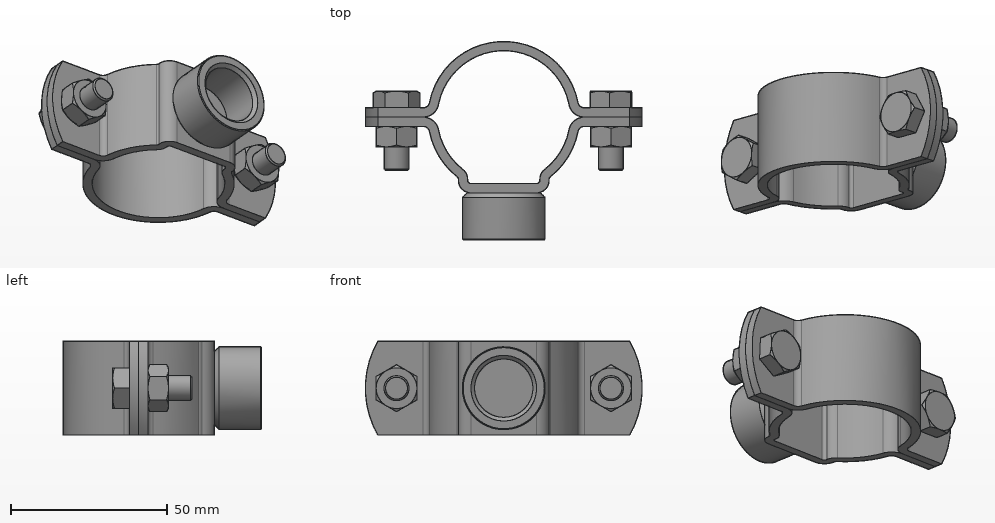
import cadquery as cq
import math

strip_width = 30.0
strip_thickness = 3.0
pipe_radius = 21.2
band_radius = pipe_radius + strip_thickness
ear_bend_inner = 2.0
ear_bend_outer = ear_bend_inner + strip_thickness
ear_reach = 44.25
ear_end_radius = 30.0

seat_half_width = 10.5
seat_bend_inner = 1.0
seat_bend_outer = seat_bend_inner + strip_thickness
seat_outer_y = -band_radius
seat_inner_y = seat_outer_y + strip_thickness

socket_radius = 13.25
socket_length = 15.0
socket_bore_radius = 9.315
socket_mouth_radius = 10.48
socket_edge_chamfer = 0.3
weld_bevel = 1.5

bolt_radius = 4.0
bolt_length = 20.0
bolt_tip_chamfer = 0.5
bolt_spacing = 68.5
hex_flats = 13.0
hex_corner_radius = hex_flats / math.sqrt(3)
head_height = 5.3
nut_height = 6.5
hex_chamfer_angle = 30.0
left_head_turn = 0.0
right_head_turn = -33.0
nut_turn = 30.0

bolt_head_turns = {-bolt_spacing / 2: left_head_turn, bolt_spacing / 2: right_head_turn}


def polar(radius, angle, center=(0.0, 0.0)):
    """Point at a radius and an angle in radians around a center."""
    return (center[0] + radius * math.cos(angle), center[1] + radius * math.sin(angle))


def mirrored(point):
    """Point reflected across the X = 0 plane."""
    return (-point[0], point[1])


ear_bend_y = strip_thickness + ear_bend_inner
ear_bend_x = math.sqrt((band_radius + ear_bend_inner) ** 2 - ear_bend_y**2)
ear_bend_center = (ear_bend_x, ear_bend_y)
ear_bend_angle = math.atan2(ear_bend_y, ear_bend_x)
ear_bend_mid_angle = (math.pi + ear_bend_angle + 1.5 * math.pi) / 2

wall_outer_x = seat_half_width + seat_bend_outer
wall_inner_x = seat_half_width + seat_bend_inner
seat_bend_center = (seat_half_width, seat_inner_y + seat_bend_inner)
neck_bend_x = wall_outer_x + seat_bend_inner
neck_bend_y = -math.sqrt((band_radius + seat_bend_inner) ** 2 - neck_bend_x**2)
neck_bend_center = (neck_bend_x, neck_bend_y)
neck_angle = math.atan2(neck_bend_y, neck_bend_x)
neck_bend_mid_angle = math.pi + neck_angle / 2


def trim_ears(strip):
    """Round the two ear ends, with arcs that bulge outwards along X."""
    end_sagitta = ear_end_radius - math.sqrt(ear_end_radius**2 - (strip_width / 2) ** 2)
    corner_x = ear_reach - end_sagitta
    half_width = strip_width / 2
    outline = (
        cq.Workplane("XZ")
        .moveTo(-corner_x, -half_width)
        .lineTo(corner_x, -half_width)
        .threePointArc((ear_reach, 0), (corner_x, half_width))
        .lineTo(-corner_x, half_width)
        .threePointArc((-ear_reach, 0), (-corner_x, -half_width))
        .close()
        .extrude(band_radius + strip_thickness, both=True)
    )
    return strip.intersect(outline)


def drill_bolt_holes(strip):
    """Cut the bolt holes through both ears."""
    for bolt_x in bolt_head_turns:
        hole = cq.Workplane("XZ").center(bolt_x, 0).circle(bolt_radius).extrude(ear_bend_y, both=True)
        strip = strip.cut(hole)
    return strip


def finish_clamp(outline):
    """Extrude a strip outline across its width, then trim and drill its ears."""
    strip = outline.extrude(strip_width / 2, both=True)
    return drill_bolt_holes(trim_ears(strip))


def make_back_clamp():
    """Half band at +Y with one bent ear on each side."""
    band_end = polar(band_radius, ear_bend_angle)
    bore_end = polar(pipe_radius, ear_bend_angle)
    bend_inner_mid = polar(ear_bend_inner, ear_bend_mid_angle, ear_bend_center)
    bend_outer_mid = polar(ear_bend_outer, ear_bend_mid_angle, ear_bend_center)
    outline = (
        cq.Workplane("XY")
        .moveTo(ear_reach, 0)
        .lineTo(ear_reach, strip_thickness)
        .lineTo(ear_bend_x, strip_thickness)
        .threePointArc(bend_inner_mid, band_end)
        .threePointArc((0, band_radius), mirrored(band_end))
        .threePointArc(mirrored(bend_inner_mid), (-ear_bend_x, strip_thickness))
        .lineTo(-ear_reach, strip_thickness)
        .lineTo(-ear_reach, 0)
        .lineTo(-ear_bend_x, 0)
        .threePointArc(mirrored(bend_outer_mid), mirrored(bore_end))
        .threePointArc((0, pipe_radius), bore_end)
        .threePointArc(bend_outer_mid, (ear_bend_x, 0))
        .close()
    )
    return finish_clamp(outline)


def half_front_outline():
    """Right-hand half of the front clamp outline, open along X = 0."""
    side_angle = (neck_angle - ear_bend_angle) / 2
    seat_mid_angle = -math.pi / 4
    ear_inner_mid = polar(ear_bend_inner, -ear_bend_mid_angle, (ear_bend_x, -ear_bend_y))
    ear_outer_mid = polar(ear_bend_outer, -ear_bend_mid_angle, (ear_bend_x, -ear_bend_y))
    return (
        cq.Workplane("XY")
        .moveTo(0, seat_outer_y)
        .lineTo(seat_half_width, seat_outer_y)
        .threePointArc(
            polar(seat_bend_outer, seat_mid_angle, seat_bend_center), (wall_outer_x, seat_bend_center[1])
        )
        .lineTo(wall_outer_x, neck_bend_y)
        .threePointArc(
            polar(seat_bend_inner, neck_bend_mid_angle, neck_bend_center), polar(band_radius, neck_angle)
        )
        .threePointArc(polar(band_radius, side_angle), polar(band_radius, -ear_bend_angle))
        .threePointArc(ear_inner_mid, (ear_bend_x, -strip_thickness))
        .lineTo(ear_reach, -strip_thickness)
        .lineTo(ear_reach, 0)
        .lineTo(ear_bend_x, 0)
        .threePointArc(ear_outer_mid, polar(pipe_radius, -ear_bend_angle))
        .threePointArc(polar(pipe_radius, side_angle), polar(pipe_radius, neck_angle))
        .threePointArc(
            polar(seat_bend_outer, neck_bend_mid_angle, neck_bend_center), (wall_inner_x, neck_bend_y)
        )
        .lineTo(wall_inner_x, seat_bend_center[1])
        .threePointArc(
            polar(seat_bend_inner, seat_mid_angle, seat_bend_center), (seat_half_width, seat_inner_y)
        )
        .lineTo(0, seat_inner_y)
    )


def make_front_clamp():
    """Half band at -Y with bent ears and a flat seat for the socket."""
    return finish_clamp(half_front_outline().mirrorY())


def make_socket():
    """Open tube on the seat, bevelled at the weld and countersunk at the mouth."""
    mouth_y = seat_outer_y - socket_length
    countersink = socket_mouth_radius - socket_bore_radius
    profile = [
        (socket_bore_radius, seat_outer_y),
        (socket_radius - weld_bevel, seat_outer_y),
        (socket_radius, seat_outer_y - weld_bevel),
        (socket_radius, mouth_y + socket_edge_chamfer),
        (socket_radius - socket_edge_chamfer, mouth_y),
        (socket_mouth_radius, mouth_y),
        (socket_bore_radius, mouth_y + countersink),
    ]
    return cq.Workplane("XY").polyline(profile).close().revolve(360, (0, 0), (0, 1))


def make_hex(height, turn, chamfer_near, chamfer_far):
    """Hexagon along Z from 0 to height, with conical corner chamfers on the chosen ends."""
    setback = hex_corner_radius - hex_flats / 2
    drop = setback * math.tan(math.radians(hex_chamfer_angle))
    hexagon = cq.Workplane("XY").polygon(6, 2 * hex_corner_radius).extrude(height)
    hexagon = hexagon.rotate((0, 0, 0), (0, 0, 1), turn)
    envelope = cq.Workplane("XY").circle(hex_corner_radius).extrude(height)
    if chamfer_near:
        envelope = envelope.faces("<Z").chamfer(drop, setback)
    if chamfer_far:
        envelope = envelope.faces(">Z").chamfer(drop, setback)
    return hexagon.intersect(envelope)


def place_on_ear(part, bolt_x, seat_y):
    """Turn a part's +Z axis to +Y and move it onto the bolt axis."""
    return part.rotate((0, 0, 0), (1, 0, 0), -90).translate((bolt_x, seat_y, 0))


def make_bolt(bolt_x, head_turn):
    """Hexagon bolt with its head on the back ear and its tip towards -Y."""
    head = make_hex(head_height, head_turn, chamfer_near=False, chamfer_far=True)
    shank = cq.Workplane("XY").circle(bolt_radius).extrude(-bolt_length)
    shank = shank.faces("<Z").chamfer(bolt_tip_chamfer)
    return place_on_ear(head.union(shank), bolt_x, strip_thickness)


def make_nut(bolt_x):
    """Hexagon nut against the front ear."""
    nut = make_hex(nut_height, nut_turn, chamfer_near=True, chamfer_far=True)
    nut = nut.cut(cq.Workplane("XY").circle(bolt_radius).extrude(nut_height))
    return place_on_ear(nut, bolt_x, -strip_thickness - nut_height)


back_clamp = make_back_clamp()
front_clamp = make_front_clamp()
socket = make_socket()
bolts = [make_bolt(bolt_x, head_turn) for bolt_x, head_turn in bolt_head_turns.items()]
nuts = [make_nut(bolt_x) for bolt_x in bolt_head_turns]

result = cq.Compound.makeCompound(
    [back_clamp.val(), front_clamp.val(), socket.val()]
    + [bolt.val() for bolt in bolts]
    + [nut.val() for nut in nuts]
)